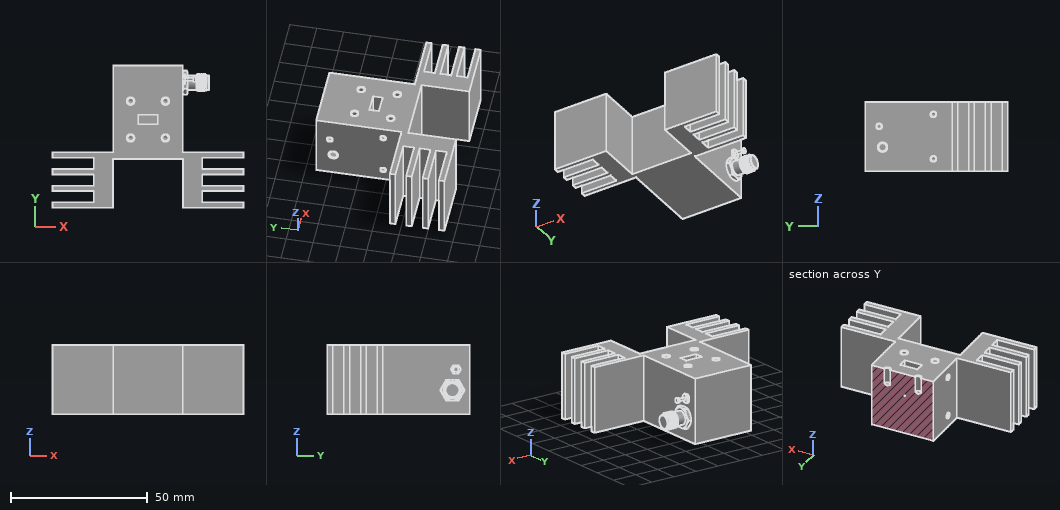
import cadquery as cq
import math

INCH = 25.4
HEIGHT = 1.0 * INCH
DOWN = (0, 0, -1)
ALONG_X = (1, 0, 0)

SINK_WIDTH = 2.75 * INCH
SINK_DEPTH = 0.8 * INCH
CHANNEL_WIDTH = 1.0 * INCH
PLATE_THICKNESS = 0.1 * INCH
FIN_LENGTH = 15.08
FIN_COUNT = 4
FIN_GAP = 4.0
FIN_THICKNESS = (SINK_DEPTH - (FIN_COUNT - 1) * FIN_GAP) / FIN_COUNT

BLOCK_WIDTH = 1.0 * INCH
FRONT_HALF_DEPTH = 0.47 * INCH
REAR_HALF_DEPTH = 0.78 * INCH
SINK_REAR_Y = -FRONT_HALF_DEPTH
SINK_FRONT_Y = SINK_REAR_Y - SINK_DEPTH
SIDE_X = BLOCK_WIDTH / 2

GUIDE_WIDTH = 0.28 * INCH
GUIDE_DEPTH_Y = 0.14 * INCH
GUIDE_DEPTH_Z = HEIGHT / 2

DRILL_TIP_ANGLE = 118.0
MOUTH_DEPTH = 0.25

FLANGE_SPACING_X = 0.5 * INCH
FLANGE_SPACING_Y = 0.53 * INCH
FLANGE_HOLE_DIAMETER = 2.26
FLANGE_HOLE_MOUTH = 2.85
FLANGE_HOLE_DEPTH = 6.35

CLAMP_HOLE_Y = -0.2 * INCH
CLAMP_HOLE_SPACING_Z = 0.64 * INCH
CLAMP_HOLE_DIAMETER = 1.8
CLAMP_HOLE_MOUTH = 2.2
CLAMP_HOLE_DEPTH = 5.08
COAX_Y = REAR_HALF_DEPTH - 0.25 * INCH
COAX_Z = 8.83
COAX_HOLE_DIAMETER = 2.85
COAX_HOLE_MOUTH = 3.55
BIAS_Y = REAR_HALF_DEPTH - 0.2 * INCH
BIAS_Z = 16.43
BIAS_HOLE_DIAMETER = 1.8
BIAS_HOLE_MOUTH = 2.2
SIDE_HOLE_DEPTH = 5.08

COAX_NUT_FLATS = 7.75
COAX_NUT_LENGTH = 1.8
COAX_NUT_BEVEL_ANGLE = 30.0
COAX_BARREL_DIAMETER = 5.37
COAX_LENGTH = 9.75
COAX_TIP_CHAMFER = 0.2
SLEEVE_DIAMETER = 5.9
SLEEVE_START = 4.95
SLEEVE_LENGTH = 3.75
SLEEVE_CHAMFER = 0.2
THREAD_DIAMETER = 0.25 * INCH
THREADS_PER_INCH = 36
THREAD_PITCH = INCH / THREADS_PER_INCH
THREAD_TURNS = 4.5
THREAD_ROOT_OVERLAP = 0.15
THREAD_BASE_WIDTH = 0.72 * THREAD_PITCH
THREAD_CREST_WIDTH = THREAD_PITCH / 8
THREAD_START_ANGLE = 37

BIAS_NUT_FLATS = 3.175
BIAS_NUT_LENGTH = 0.85
BIAS_NUT_BEVEL_ANGLE = 45.0
BIAS_PIN_DIAMETER = 1.0
BIAS_HEAD_DIAMETER = 1.9
BIAS_HEAD_START = 3.9
BIAS_LENGTH = 4.65


def box_between(x0, x1, y0, y1, z0, z1):
    return cq.Workplane("XY").box(x1 - x0, y1 - y0, z1 - z0, centered=False).translate((x0, y0, z0))


def make_heat_sink():
    half_width = SINK_WIDTH / 2
    sink = box_between(-half_width, half_width, SINK_FRONT_Y, SINK_REAR_Y, 0, HEIGHT)
    half_channel = CHANNEL_WIDTH / 2
    channel_rear_y = SINK_REAR_Y - PLATE_THICKNESS
    sink = sink.cut(box_between(-half_channel, half_channel, SINK_FRONT_Y, channel_rear_y, 0, HEIGHT))
    fin_root_x = half_width - FIN_LENGTH
    for index in range(FIN_COUNT - 1):
        gap_front_y = SINK_FRONT_Y + FIN_THICKNESS + index * (FIN_THICKNESS + FIN_GAP)
        gap_rear_y = gap_front_y + FIN_GAP
        sink = sink.cut(box_between(fin_root_x, half_width, gap_front_y, gap_rear_y, 0, HEIGHT))
        sink = sink.cut(box_between(-half_width, -fin_root_x, gap_front_y, gap_rear_y, 0, HEIGHT))
    return sink


def make_block_half(front_y, rear_y):
    return box_between(-SIDE_X, SIDE_X, front_y, rear_y, 0, HEIGHT)


def hole_cutter(origin, direction, diameter, mouth_diameter, depth, drill_tip):
    """Blind hole with a shallow counterbored mouth and a flat or conical bottom."""
    radius = diameter / 2
    position = cq.Vector(*origin)
    axis = cq.Vector(*direction)
    bore = cq.Solid.makeCylinder(radius, depth, position, axis)
    mouth = cq.Solid.makeCylinder(mouth_diameter / 2, MOUTH_DEPTH, position, axis)
    cutter = bore.fuse(mouth)
    if drill_tip:
        tip_length = radius / math.tan(math.radians(DRILL_TIP_ANGLE / 2))
        tip = cq.Solid.makeCone(radius, 0, tip_length, position + axis * depth, axis)
        cutter = cutter.fuse(tip)
    return cutter


def cut_waveguide(block):
    half_width = GUIDE_WIDTH / 2
    half_depth = GUIDE_DEPTH_Y / 2
    floor_z = HEIGHT - GUIDE_DEPTH_Z
    port = box_between(-half_width, half_width, -half_depth, half_depth, floor_z, HEIGHT)
    return block.cut(port, clean=False)


def flange_hole_cutters():
    cutters = []
    for side_x in (-1, 1):
        for side_y in (-1, 1):
            origin = (side_x * FLANGE_SPACING_X / 2, side_y * FLANGE_SPACING_Y / 2, HEIGHT)
            cutter = hole_cutter(
                origin, DOWN, FLANGE_HOLE_DIAMETER, FLANGE_HOLE_MOUTH, FLANGE_HOLE_DEPTH, drill_tip=True
            )
            cutters.append(cutter)
    return cutters


def clamp_hole_cutters():
    cutters = []
    for side_z in (-1, 1):
        origin = (-SIDE_X, CLAMP_HOLE_Y, HEIGHT / 2 + side_z * CLAMP_HOLE_SPACING_Z / 2)
        cutter = hole_cutter(
            origin, ALONG_X, CLAMP_HOLE_DIAMETER, CLAMP_HOLE_MOUTH, CLAMP_HOLE_DEPTH, drill_tip=True
        )
        cutters.append(cutter)
    return cutters


def flat_side_hole_cutter(y, z, diameter, mouth_diameter):
    return hole_cutter((-SIDE_X, y, z), ALONG_X, diameter, mouth_diameter, SIDE_HOLE_DEPTH, drill_tip=False)


def make_block():
    """Both halves with the seam between them kept, the waveguide port and every hole."""
    block = make_block_half(-FRONT_HALF_DEPTH, 0).union(make_block_half(0, REAR_HALF_DEPTH), clean=False)
    block = cut_waveguide(block)
    cutters = flange_hole_cutters() + clamp_hole_cutters()
    cutters.append(flat_side_hole_cutter(COAX_Y, COAX_Z, COAX_HOLE_DIAMETER, COAX_HOLE_MOUTH))
    cutters.append(flat_side_hole_cutter(BIAS_Y, BIAS_Z, BIAS_HOLE_DIAMETER, BIAS_HOLE_MOUTH))
    for cutter in cutters:
        block = block.cut(cq.Workplane(obj=cutter), clean=False)
    return block


def hex_nut(across_flats, length, bevel_angle):
    """Hexagon along +X with corners on the Y axis, its corners turned down at both ends."""
    across_corners = across_flats / math.cos(math.pi / 6)
    prism = cq.Workplane("YZ").polygon(6, across_corners).extrude(length)
    radius = across_corners / 2
    end_radius = across_flats / 2
    bevel = (radius - end_radius) * math.tan(math.radians(bevel_angle))
    turned = (
        cq.Workplane("XY")
        .lineTo(0, end_radius)
        .lineTo(bevel, radius)
        .lineTo(length - bevel, radius)
        .lineTo(length, end_radius)
        .lineTo(length, 0)
        .close()
        .revolve(360, (0, 0, 0), (1, 0, 0))
    )
    return prism.intersect(turned)


def make_thread():
    """Helical V ridge around the X axis, its root sunk slightly into the sleeve."""
    root_radius = SLEEVE_DIAMETER / 2 - THREAD_ROOT_OVERLAP
    half_base = THREAD_BASE_WIDTH / 2
    half_crest = THREAD_CREST_WIDTH / 2
    profile = (
        cq.Workplane("XZ")
        .moveTo(root_radius, -half_base)
        .lineTo(THREAD_DIAMETER / 2, -half_crest)
        .lineTo(THREAD_DIAMETER / 2, half_crest)
        .lineTo(root_radius, half_base)
        .close()
    )
    thread_length = THREAD_PITCH * THREAD_TURNS
    helix = cq.Wire.makeHelix(THREAD_PITCH, thread_length, root_radius)
    ridge = profile.sweep(cq.Workplane(obj=helix), isFrenet=True)
    start_x = SLEEVE_START + (SLEEVE_LENGTH - thread_length) / 2
    ridge = ridge.rotate((0, 0, 0), (0, 1, 0), 90)
    ridge = ridge.rotate((0, 0, 0), (1, 0, 0), THREAD_START_ANGLE)
    return ridge.translate((start_x, 0, 0))


def make_coax_connector():
    nut = hex_nut(COAX_NUT_FLATS, COAX_NUT_LENGTH, COAX_NUT_BEVEL_ANGLE)
    barrel = cq.Workplane("YZ").circle(COAX_BARREL_DIAMETER / 2).extrude(COAX_LENGTH)
    barrel = barrel.faces(">X").chamfer(COAX_TIP_CHAMFER)
    sleeve = cq.Workplane("YZ").circle(SLEEVE_DIAMETER / 2).extrude(SLEEVE_LENGTH)
    sleeve = sleeve.faces("<X or >X").chamfer(SLEEVE_CHAMFER)
    sleeve = sleeve.translate((SLEEVE_START, 0, 0))
    return nut.union(barrel).union(sleeve).union(make_thread()).translate((SIDE_X, COAX_Y, COAX_Z))


def make_bias_terminal():
    nut = hex_nut(BIAS_NUT_FLATS, BIAS_NUT_LENGTH, BIAS_NUT_BEVEL_ANGLE)
    pin = cq.Workplane("YZ").circle(BIAS_PIN_DIAMETER / 2).extrude(BIAS_LENGTH)
    head_length = BIAS_LENGTH - BIAS_HEAD_START
    head = cq.Workplane("YZ").circle(BIAS_HEAD_DIAMETER / 2).extrude(head_length)
    head = head.translate((BIAS_HEAD_START, 0, 0))
    return nut.union(pin).union(head).translate((SIDE_X, BIAS_Y, BIAS_Z))


result = make_heat_sink()
for component in (make_block(), make_coax_connector(), make_bias_terminal()):
    result = result.union(component, clean=False)